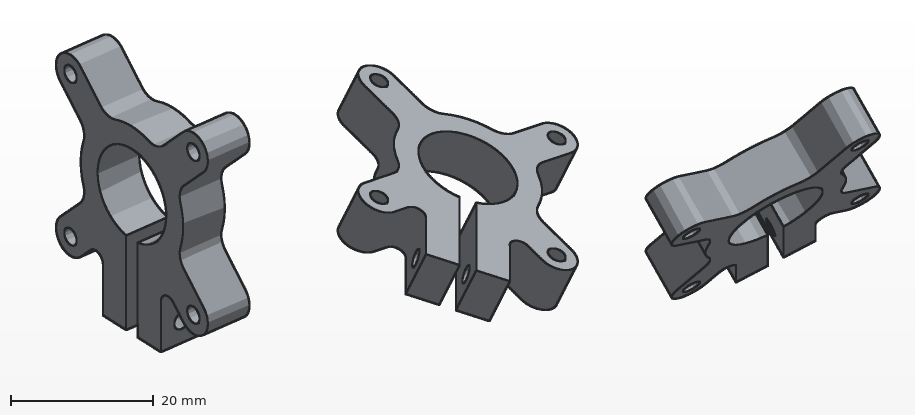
import cadquery as cq
import math

thickness = 7.62
height = 39.7
bore_radius = 7.5
ring_radius = 11.25
lug_offset = 13.45
lug_radius = 3.18
lug_hole_radius = 1.35
ring_fillet = 3.18
leg_half_width = 6.35
leg_fillet = 1.6
slot_width = 2.5
clamp_hole_radius = 1.35
clamp_hole_height = 3.7

lug_reach = math.hypot(lug_offset, lug_offset)
bottom = lug_offset + lug_radius - height
arm_angles = (45, 135, 225, 315)


def plate_plane():
    """XZ sketch plane whose symmetric extrusion is centred on Y = 0."""
    return cq.Workplane("XZ")


def cylinder(radius):
    return plate_plane().circle(radius).extrude(thickness / 2, both=True)


def arm(angle):
    """Straight arm with a full-round end, turned about the bore axis."""
    bar = (
        plate_plane()
        .center(lug_reach / 2, 0)
        .rect(lug_reach, 2 * lug_radius)
        .extrude(thickness / 2, both=True)
    )
    lug = cylinder(lug_radius).translate((lug_reach, 0, 0))
    return bar.union(lug).rotate((0, 0, 0), (0, 1, 0), -angle)


def fillet_corner(body, x, z, radius):
    """Round the through-thickness edge at (x, z)."""
    edge = cq.selectors.NearestToPointSelector((x, 0, z))
    return body.edges("|Y").edges(edge).fillet(radius)


body = cylinder(ring_radius)
for angle in arm_angles:
    body = body.union(arm(angle))
legs = cq.Workplane("XY").box(2 * leg_half_width, thickness, -bottom, centered=(True, True, False))
body = body.union(legs.translate((0, 0, bottom)).cut(cylinder(bore_radius)))

half_arm_angle = math.degrees(math.asin(lug_radius / ring_radius))
for angle in arm_angles:
    for side in (-1, 1):
        corner = math.radians(angle + side * half_arm_angle)
        x = ring_radius * math.cos(corner)
        z = ring_radius * math.sin(corner)
        under_legs = z < 0 and abs(x) < leg_half_width
        if not under_legs:
            body = fillet_corner(body, x, z, ring_fillet)

leg_corner_z = -(leg_half_width + lug_radius * math.sqrt(2))
for side in (-1, 1):
    body = fillet_corner(body, side * leg_half_width, leg_corner_z, leg_fillet)

body = body.cut(cylinder(bore_radius))
slot = cq.Workplane("XY").box(slot_width, thickness, -bottom, centered=(True, True, False))
body = body.cut(slot.translate((0, 0, bottom)))

for x in (-lug_offset, lug_offset):
    for z in (-lug_offset, lug_offset):
        body = body.cut(cylinder(lug_hole_radius).translate((x, 0, z)))

clamp_hole = (
    cq.Workplane("YZ")
    .center(0, bottom + clamp_hole_height)
    .circle(clamp_hole_radius)
    .extrude(leg_half_width, both=True)
)
result = body.cut(clamp_hole)